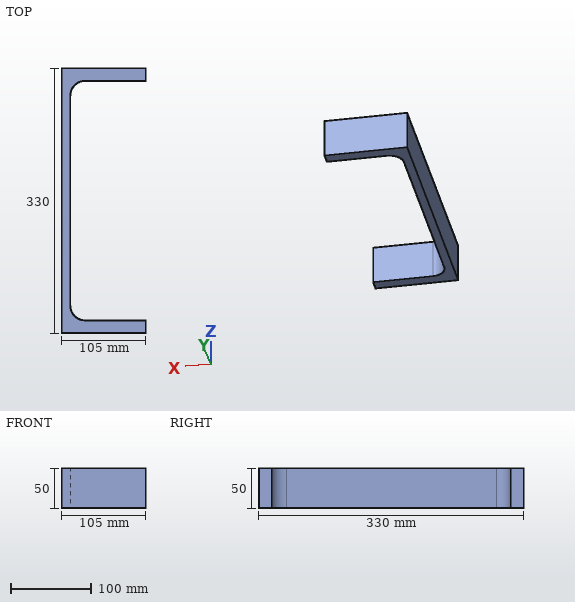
import cadquery as cq

depth = 330.0
flange_width = 105.0
web_thickness = 11.0
flange_thickness = 16.0
root_radius = 18.0
length = 50.0


def channel_blank():
    """Solid block with the web's outer face on X = 0, centred on Y."""
    return cq.Workplane("XY").box(flange_width, depth, length, centered=(False, True, False))


def channel_opening():
    """Space between the flanges, open towards +X, with rounded root corners."""
    opening_width = flange_width - web_thickness
    opening_depth = depth - 2 * flange_thickness
    return (
        cq.Workplane("XY")
        .box(opening_width, opening_depth, length, centered=(False, True, False))
        .edges("|Z and <X")
        .fillet(root_radius)
        .translate((web_thickness, 0, 0))
    )


result = channel_blank().cut(channel_opening())